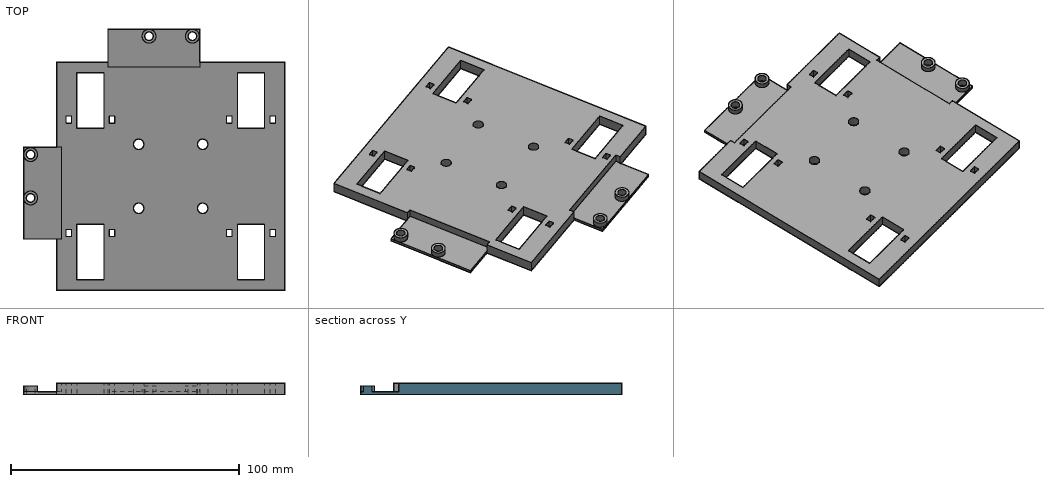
import cadquery as cq

overall_size = 114.2
plate_size = 99.8
plate_thickness = 5.0
half_plate = plate_size / 2

window_width = 11.8
window_length = 24.2
window_side_margin = 8.9
window_end_margin = 4.7
window_x = half_plate - window_side_margin - window_width / 2
window_y = half_plate - window_end_margin - window_length / 2

screw_spacing = 19.0

slot_width = 2.3
slot_length = 3.0
slot_y = 24.8

hole_diameter = 4.5
hole_spacing = 28.0

tab_width = 40.2
tab_thickness = 1.3
tab_reach = overall_size - plate_size
tab_end_margin = 0.2
notch_depth = 2.2

boss_diameter = 6.0
boss_hole_diameter = 3.7
boss_height = 2.5
boss_y = half_plate + tab_reach - boss_diameter / 2
boss_points = [(side * screw_spacing / 2, boss_y) for side in (-1, 1)]

tab_end_x = screw_spacing / 2 + boss_diameter / 2 + tab_end_margin
tab_x = tab_end_x - tab_width / 2

tab_angles = (0, 90)


def upright_box(width, length, height, x, y, z=0):
    """Box centred on (x, y) and standing on height z."""
    return cq.Workplane("XY").box(width, length, height, (True, True, False)).translate((x, y, z))


def make_plate():
    """Plate with its windows, slots and round holes."""
    signs = (-1, 1)
    windows = [(sx * window_x, sy * window_y) for sx in signs for sy in signs]
    slots = [
        (sx * window_x + side * screw_spacing / 2, sy * slot_y)
        for sx in signs
        for sy in signs
        for side in signs
    ]
    plan = cq.Workplane("XY")
    plate = upright_box(plate_size, plate_size, plate_thickness, 0, 0)
    plate = plate.cut(plan.pushPoints(windows).rect(window_width, window_length).extrude(plate_thickness))
    plate = plate.cut(plan.pushPoints(slots).rect(slot_width, slot_length).extrude(plate_thickness))
    holes = plan.rarray(hole_spacing, hole_spacing, 2, 2).circle(hole_diameter / 2).extrude(plate_thickness)
    return plate.cut(holes)


def make_notch():
    """Clearance above the tab where it enters the +Y plate edge."""
    height = plate_thickness - tab_thickness
    return upright_box(tab_width, notch_depth, height, tab_x, half_plate - notch_depth / 2, tab_thickness)


def boss_cylinders(diameter):
    """Cylinders at both boss places, from the tab underside to the boss top."""
    boss_top = tab_thickness + boss_height
    return cq.Workplane("XY").pushPoints(boss_points).circle(diameter / 2).extrude(boss_top)


def make_tab():
    """Tab on the +Y plate edge with its two hollow bosses."""
    length = tab_reach + notch_depth
    tab_y = half_plate + tab_reach - length / 2
    tab = upright_box(tab_width, length, tab_thickness, tab_x, tab_y)
    bosses = boss_cylinders(boss_diameter)
    bores = boss_cylinders(boss_hole_diameter)
    return tab.union(bosses).cut(bores)


result = make_plate()
for angle in tab_angles:
    notch = make_notch().rotate((0, 0, 0), (0, 0, 1), angle)
    tab = make_tab().rotate((0, 0, 0), (0, 0, 1), angle)
    result = result.cut(notch).union(tab)